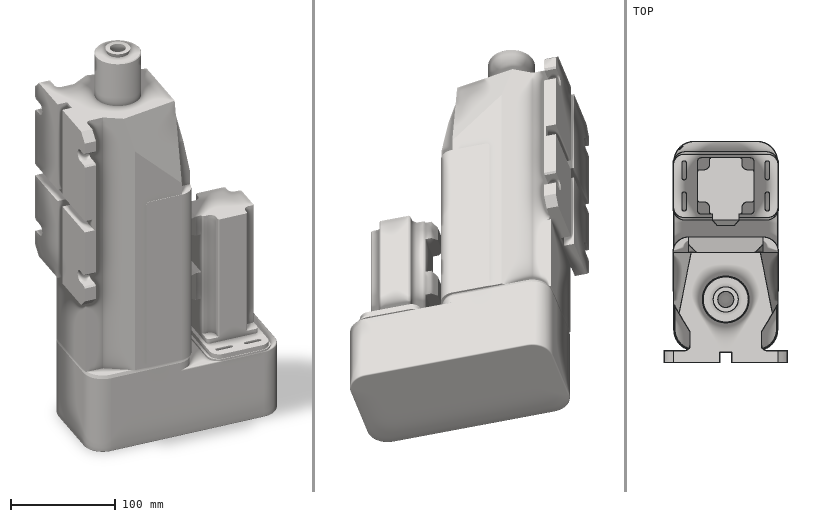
import cadquery as cq
import math


total_height = 415.0
tip_height = 4.0
gearbox_top = 73.5
collar_top = 84.5
panel_top = 268.5
body_top = 363.5

gearbox_width = 99.5
gearbox_front = -49.0
gearbox_back = 151.5
gearbox_corner = 20.0
gearbox_edge_fillet = 1.2
collar_back = 58.5
collar_bevel_height = 3.5
collar_bevel_inset = 1.2

body_half_width = 50.2
body_back = 45.0
shoulder_front = -4.0
neck_half_width = 34.5
neck_back = -30.7
side_bevel_bottom = 281.0
side_bevel_front_height = 328.0
top_back_half_width = 33.0

cover_width = 101.3
cover_front = 8.0
cover_back = 59.8
cover_corner = cover_back - body_back
cover_front_fillet = 3.5
rib_half_width = 35.5
rib_slope_bottom = 283.0
rib_taper_bottom = 318.5
rib_slope = 0.2

plate_width = 118.0
plate_thickness = 11.5
plate_bottom = 170.5
plate_height = body_top - plate_bottom
plate_back = gearbox_front
plate_front = plate_back - plate_thickness
plate_corner = 8.7
plate_flare = 5.0
key_depth = 10.0
vertical_key_width = 11.0
cross_key_width = 12.5
cross_key_height = 262.3
mount_slot_heights = (201.3, 335.7)
mount_slot_width = 12.0
mount_slot_end = 42.0
mount_slot_mouth_bevel = 1.5

motor_y = 108.7
motor_side = 54.0
motor_top = 216.2
motor_corner = 3.5
flute_bottom = 85.5
flute_side = 11.5
flute_fillet = 6.0
flute_lip_chamfer = 1.2
flange_top = 80.5
flange_width = 100.0
flange_depth = 60.5
flange_corner = 10.0
lip_top = 75.5
lip_width = 101.3
lip_depth = 65.5
lip_corner = 12.0
flange_slot_length = 18.3
flange_slot_width = 4.0
flange_slot_x = 40.0
flange_slot_pitch = 30.0
connector_half_width = 13.0
connector_tip_half_width = 8.5
connector_straight = 6.0
connector_bevel = 5.0
connector_spans = ((195.0, motor_top), (123.5, 153.0))

rod_diameter = 45.0
rod_edge_chamfer = 1.0
tip_diameter = 24.0
tip_root_diameter = 21.5
bore_diameter = 15.5
bore_depth = 25.0


def upright_block(width, front, back, bottom, top):
    """Block centred on X between the given Y and Z limits."""
    return cq.Workplane("XY").box(
        width, back - front, top - bottom, centered=(True, False, False)
    ).translate((0, front, bottom))


def make_gearbox():
    """Long rounded box with a raised, bevelled collar under the actuator body."""
    case = upright_block(gearbox_width, gearbox_front, gearbox_back, 0, gearbox_top)
    case = case.edges("|Z").fillet(gearbox_corner)
    case = case.faces("<Z or >Z").edges().fillet(gearbox_edge_fillet)

    collar = upright_block(gearbox_width, gearbox_front, collar_back, gearbox_top / 2, collar_top)
    collar = collar.edges("|Z and <Y").fillet(gearbox_corner)
    collar = collar.edges("|Z and >Y").fillet(cover_corner)
    collar = collar.faces(">Z").chamfer(collar_bevel_height, collar_bevel_inset)
    return case.union(collar)


def make_side_bevel(side):
    """Cutter that slopes the upper shoulder of the body on one side (side is -1 or 1)."""
    low_back = cq.Vector(side * body_half_width, body_back, side_bevel_bottom)
    high_front = cq.Vector(side * body_half_width, shoulder_front, side_bevel_front_height)
    top_back = cq.Vector(side * top_back_half_width, body_back, body_top)
    along = high_front - low_back
    outward = along.cross(top_back - low_back)
    if outward.x * side < 0:
        outward = outward * -1
    cutter_size = 2 * body_top
    bevel_plane = cq.Plane(low_back, along, outward)
    return cq.Workplane(bevel_plane).rect(cutter_size, cutter_size).extrude(cutter_size)


def make_body():
    """Column with bevelled front sides, a narrow neck and sloping upper shoulders."""
    half_outline = [
        (body_half_width, body_back),
        (body_half_width, shoulder_front),
        (neck_half_width, neck_back),
        (neck_half_width, plate_back),
    ]
    mirrored = [(-x, y) for x, y in reversed(half_outline)]
    column = (
        cq.Workplane("XY", origin=(0, 0, collar_top))
        .polyline(half_outline + mirrored)
        .close()
        .extrude(body_top - collar_top)
    )
    for side in (-1, 1):
        column = column.cut(make_side_bevel(side))
    return column


def make_cover():
    """Slightly proud cover with rounded rear corners around the lower body."""
    cover = upright_block(cover_width, cover_front, cover_back, collar_top, panel_top)
    cover = cover.edges("|Z and >Y").fillet(cover_corner)
    return cover.edges("|X and <Y and >Z").fillet(cover_front_fillet)


def make_rib():
    """Rib above the cover: its rear face and upper sides lean inwards at the same slope."""
    slope_top = rib_slope_bottom + (cover_back - body_back) / rib_slope
    top_half_width = rib_half_width - rib_slope * (slope_top - rib_taper_bottom)
    side_profile = (
        cq.Workplane("YZ", origin=(-rib_half_width, 0, 0))
        .moveTo(0, panel_top)
        .lineTo(cover_back, panel_top)
        .lineTo(cover_back, rib_slope_bottom)
        .lineTo(body_back, slope_top)
        .lineTo(0, slope_top)
        .close()
        .extrude(2 * rib_half_width)
    )
    rear_profile = (
        cq.Workplane("XZ")
        .moveTo(-rib_half_width, panel_top)
        .lineTo(rib_half_width, panel_top)
        .lineTo(rib_half_width, rib_taper_bottom)
        .lineTo(top_half_width, slope_top)
        .lineTo(-top_half_width, slope_top)
        .lineTo(-rib_half_width, rib_taper_bottom)
        .close()
        .extrude(-cover_back)
    )
    return side_profile.intersect(rear_profile)


def make_plate_flare(side):
    """Concave strip that blends one side of the neck into the plate."""
    neck_x = side * neck_half_width
    diagonal = plate_flare * (1 - math.sqrt(0.5))
    return (
        cq.Workplane("XY", origin=(0, 0, plate_bottom))
        .moveTo(neck_x, plate_back)
        .lineTo(neck_x + side * plate_flare, plate_back)
        .threePointArc(
            (neck_x + side * diagonal, plate_back + diagonal),
            (neck_x, plate_back + plate_flare),
        )
        .close()
        .extrude(plate_height)
    )


def make_plate():
    """Mounting plate with crossed key grooves and four open-ended bolt slots."""
    plate = upright_block(plate_width, plate_front, plate_back, plate_bottom, body_top)
    plate = plate.edges("|Y").chamfer(plate_corner)

    key_bottom = plate_front + key_depth
    plate = plate.cut(upright_block(vertical_key_width, plate_front, key_bottom, plate_bottom, body_top))
    plate = plate.cut(
        upright_block(
            plate_width,
            plate_front,
            key_bottom,
            cross_key_height - cross_key_width / 2,
            cross_key_height + cross_key_width / 2,
        )
    )

    slot_length = 2 * (plate_width / 2 - mount_slot_end)
    slot_centers = [(side * plate_width / 2, z) for side in (-1, 1) for z in mount_slot_heights]
    slots = (
        cq.Workplane("XZ", origin=(0, plate_back, 0))
        .pushPoints(slot_centers)
        .slot2D(slot_length, mount_slot_width)
        .extrude(plate_thickness)
    )
    mouths = (
        cq.Workplane("XZ", origin=(0, plate_back, 0))
        .pushPoints(slot_centers)
        .polygon(4, mount_slot_width + 2 * mount_slot_mouth_bevel)
        .extrude(plate_thickness)
    )
    plate = plate.cut(slots).cut(mouths)
    for side in (-1, 1):
        plate = plate.union(make_plate_flare(side))
    return plate


def make_motor_flange():
    """Stepped flange with four narrow slots in its upper step."""
    lip = (
        cq.Workplane("XY", origin=(0, motor_y, gearbox_top))
        .rect(lip_width, lip_depth)
        .extrude(lip_top - gearbox_top)
        .edges("|Z")
        .fillet(lip_corner)
    )
    step = (
        cq.Workplane("XY", origin=(0, motor_y, lip_top))
        .rect(flange_width, flange_depth)
        .extrude(flange_top - lip_top)
        .edges("|Z")
        .fillet(flange_corner)
    )
    slots = (
        cq.Workplane("XY", origin=(0, motor_y, lip_top))
        .rect(2 * flange_slot_x, flange_slot_pitch, forConstruction=True)
        .vertices()
        .slot2D(flange_slot_length, flange_slot_width, 90)
        .extrude(flange_top - lip_top)
    )
    return lip.union(step.cut(slots))


def make_connector(bottom, top):
    """Connector on the front of the motor, tapered in plan and bevelled at its upper edge."""
    motor_front = motor_y - motor_side / 2
    shoulder = motor_front - connector_straight
    front = shoulder - connector_bevel
    block = (
        cq.Workplane("XY", origin=(0, 0, bottom))
        .moveTo(-connector_half_width, motor_y)
        .lineTo(-connector_half_width, shoulder)
        .lineTo(-connector_tip_half_width, front)
        .lineTo(connector_tip_half_width, front)
        .lineTo(connector_half_width, shoulder)
        .lineTo(connector_half_width, motor_y)
        .close()
        .extrude(top - bottom)
    )
    bevel = (
        cq.Workplane("YZ", origin=(-connector_half_width, 0, 0))
        .moveTo(front, top - connector_bevel)
        .lineTo(shoulder, top)
        .lineTo(front, top)
        .close()
        .extrude(2 * connector_half_width)
    )
    return block.cut(bevel)


def make_motor():
    """Square motor with fluted corners, a plain foot and two connectors."""
    foot = (
        cq.Workplane("XY", origin=(0, motor_y, flange_top))
        .rect(motor_side, motor_side)
        .extrude(flute_bottom - flange_top)
        .edges("|Z")
        .fillet(motor_corner)
    )
    case = (
        cq.Workplane("XY", origin=(0, motor_y, flute_bottom))
        .rect(motor_side, motor_side)
        .extrude(motor_top - flute_bottom)
    )
    flutes = (
        cq.Workplane("XY", origin=(0, motor_y, flute_bottom))
        .rect(motor_side, motor_side, forConstruction=True)
        .vertices()
        .rect(2 * flute_side, 2 * flute_side)
        .extrude(motor_top - flute_bottom)
        .edges("|Z")
        .fillet(flute_fillet)
    )
    case = case.cut(flutes)
    case = case.edges("|Z and (<X or >X or <Y or >Y)").chamfer(flute_lip_chamfer)
    motor = foot.union(case)
    for bottom, top in connector_spans:
        motor = motor.union(make_connector(bottom, top))
    return motor


def make_housing():
    """Gearbox, actuator body, mounting plate and motor as one solid."""
    housing = make_gearbox()
    for piece in (make_body(), make_cover(), make_rib(), make_plate(), make_motor_flange(), make_motor()):
        housing = housing.union(piece)
    return housing


def make_rod():
    """Rod that stands on the body's top face, with a bored tip that widens upwards."""
    rod_length = total_height - tip_height - body_top
    rod = (
        cq.Workplane("XY", origin=(0, 0, body_top))
        .circle(rod_diameter / 2)
        .extrude(rod_length)
        .faces(">Z")
        .chamfer(rod_edge_chamfer)
    )
    tip = (
        cq.Workplane("XY", origin=(0, 0, total_height - tip_height))
        .circle(tip_root_diameter / 2)
        .workplane(offset=tip_height)
        .circle(tip_diameter / 2)
        .loft()
    )
    rod = rod.union(tip)
    return rod.faces(">Z").workplane().hole(bore_diameter, bore_depth)


housing = make_housing()
rod = make_rod()
result = cq.Compound.makeCompound([housing.val(), rod.val()])